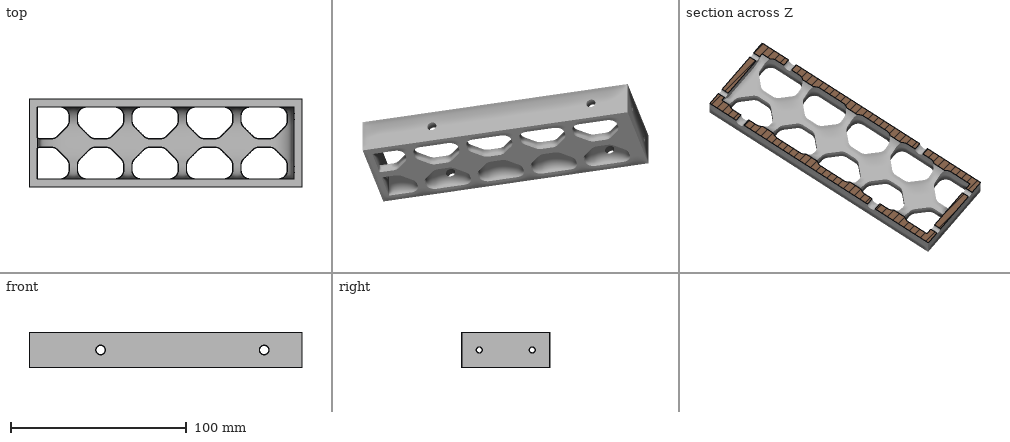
import cadquery as cq

length = 155.0
width = 50.0
height = 20.0
end_wall = 4.5
side_wall = 4.6
floor_thickness = 5.0
cove_radius = 10.0

opening_count = 5
pitch = length / opening_count
first_rib_offset = 25.0
first_rib_x = first_rib_offset - length / 2
rib_width = 4.8
spine_width = 5.0
opening_chamfer = 8.0
opening_corner_radius = 5.0

hole_height = height / 2
side_hole_diameter = 5.3
side_hole_pitches = 3
side_hole_spacing = side_hole_pitches * pitch
first_side_hole_x = first_rib_x + pitch / 2
end_hole_diameter = 3.3
end_hole_spacing = 30.0

inner_length = length - 2 * end_wall
inner_width = width - 2 * side_wall


def make_tray():
    """Open-topped tray with concave coves where the floor meets the long walls."""
    body = cq.Workplane("XY").box(length, width, height, centered=(True, True, False))
    cavity = (
        cq.Workplane("XY")
        .workplane(offset=floor_thickness)
        .box(inner_length, inner_width, height, centered=(True, True, False))
        .edges("|X and <Z")
        .fillet(cove_radius)
    )
    return body.cut(cavity)


def make_opening(center_x):
    """Opening on the +Y side: chamfered towards the spine, all corners rounded."""
    opening_length = pitch - rib_width
    opening_width = (inner_width - spine_width) / 2
    return (
        cq.Workplane("XY")
        .center(center_x, (inner_width + spine_width) / 4)
        .rect(opening_length, opening_width)
        .extrude(height)
        .edges("|Z and <Y")
        .chamfer(opening_chamfer)
        .edges("|Z")
        .fillet(opening_corner_radius)
    )


def make_openings():
    """Both rows of openings, trimmed to the inside of the frame."""
    first_x = first_rib_x - pitch / 2
    row = make_opening(first_x)
    for index in range(1, opening_count):
        row = row.union(make_opening(first_x + index * pitch))
    inside = cq.Workplane("XY").box(inner_length, inner_width, height, centered=(True, True, False))
    return row.union(row.mirror("XZ")).intersect(inside)


def make_side_holes():
    """Holes running along Y through both long walls."""
    return (
        cq.Workplane("XZ", origin=(0, width / 2, 0))
        .pushPoints([
            (first_side_hole_x, hole_height),
            (first_side_hole_x + side_hole_spacing, hole_height),
        ])
        .circle(side_hole_diameter / 2)
        .extrude(width)
    )


def make_end_holes():
    """Holes running along X through both end walls."""
    return (
        cq.Workplane("YZ", origin=(-length / 2, 0, 0))
        .pushPoints([
            (-end_hole_spacing / 2, hole_height),
            (end_hole_spacing / 2, hole_height),
        ])
        .circle(end_hole_diameter / 2)
        .extrude(length)
    )


result = make_tray().cut(make_openings()).cut(make_side_holes()).cut(make_end_holes())